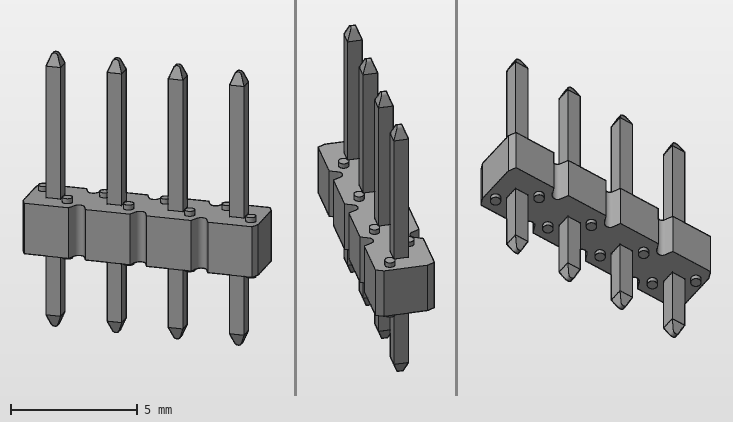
import cadquery as cq
import math

PIN_COUNT = 4
PITCH = 2.54
PIN_XS = [(i - (PIN_COUNT - 1) / 2) * PITCH for i in range(PIN_COUNT)]

HOUSING_LENGTH = 9.76
HOUSING_WIDTH = 2.42
HOUSING_HEIGHT = 2.13

FLANK_RUN = 0.15
FLANK_DEPTH = 0.32
NOTCH_FLOOR_HALF_WIDTH = (PIN_COUNT * PITCH - HOUSING_LENGTH) / 2
NOTCH_HALF_WIDTH = NOTCH_FLOOR_HALF_WIDTH + FLANK_RUN

FLANK_ANGLE = math.atan2(FLANK_DEPTH, FLANK_RUN)
NOTCH_DEPTH = FLANK_DEPTH + NOTCH_FLOOR_HALF_WIDTH * math.tan(FLANK_ANGLE / 2)

PEG_DIAMETER = 0.41
PEG_HEIGHT = 0.21
PEG_OFFSET_X = 0.67
PEG_OFFSET_Y = 0.55

PIN_LENGTH = 11.5
PIN_SIZE = 0.61
PIN_BELOW_HOUSING = 3.32
TIP_LENGTH = 0.52
TIP_END_SIZE = 0.21
TIP_ROUNDING = 0.14


def make_notch(x, side):
    """Cutter for one round-bottomed notch in the long face at Y = side * half width."""
    face_y = side * HOUSING_WIDTH / 2
    flank_y = face_y - side * FLANK_DEPTH
    floor_y = face_y - side * NOTCH_DEPTH
    return (
        cq.Workplane("XY")
        .moveTo(x - NOTCH_HALF_WIDTH, face_y)
        .lineTo(x - NOTCH_FLOOR_HALF_WIDTH, flank_y)
        .threePointArc((x, floor_y), (x + NOTCH_FLOOR_HALF_WIDTH, flank_y))
        .lineTo(x + NOTCH_HALF_WIDTH, face_y)
        .close()
        .extrude(HOUSING_HEIGHT)
    )


def make_block():
    """Long block with bevelled corners and a notch pair between neighbouring pins."""
    half_length = HOUSING_LENGTH / 2
    half_width = HOUSING_WIDTH / 2
    face_end_x = half_length - FLANK_RUN
    end_face_y = half_width - FLANK_DEPTH
    block = (
        cq.Workplane("XY")
        .polyline([
            (half_length, -end_face_y),
            (half_length, end_face_y),
            (face_end_x, half_width),
            (-face_end_x, half_width),
            (-half_length, end_face_y),
            (-half_length, -end_face_y),
            (-face_end_x, -half_width),
            (face_end_x, -half_width),
        ])
        .close()
        .extrude(HOUSING_HEIGHT)
    )
    for pin_x in PIN_XS[:-1]:
        for side in (-1, 1):
            block = block.cut(make_notch(pin_x + PITCH / 2, side))
    return block


def make_pegs(base_z, height):
    """Diagonal pair of pegs beside every pin, rising from base_z (a negative height hangs down)."""
    centers = []
    for pin_x in PIN_XS:
        centers.append((pin_x - PEG_OFFSET_X, PEG_OFFSET_Y))
        centers.append((pin_x + PEG_OFFSET_X, -PEG_OFFSET_Y))
    return (
        cq.Workplane("XY")
        .workplane(offset=base_z)
        .pushPoints(centers)
        .circle(PEG_DIAMETER / 2)
        .extrude(height)
    )


def make_housing():
    """Block with its pegs and a square through hole for each pin."""
    pin_holes = (
        cq.Workplane("XY")
        .pushPoints([(pin_x, 0) for pin_x in PIN_XS])
        .rect(PIN_SIZE, PIN_SIZE)
        .extrude(HOUSING_HEIGHT)
    )
    return (
        make_block()
        .union(make_pegs(HOUSING_HEIGHT, PEG_HEIGHT))
        .union(make_pegs(0, -PEG_HEIGHT))
        .cut(pin_holes)
    )


def make_pin(x):
    """Square pin tapered on four sides at both ends, with two rounded edges on each end face."""
    shank_length = PIN_LENGTH - 2 * TIP_LENGTH
    shank_bottom = TIP_LENGTH - PIN_BELOW_HOUSING
    shank = (
        cq.Workplane("XY")
        .workplane(offset=shank_bottom)
        .center(x, 0)
        .rect(PIN_SIZE, PIN_SIZE)
        .extrude(shank_length)
    )
    pin = shank
    for end_face in (">Z", "<Z"):
        tip = (
            shank.faces(end_face)
            .workplane(centerOption="CenterOfMass")
            .rect(PIN_SIZE, PIN_SIZE)
            .workplane(offset=TIP_LENGTH)
            .rect(TIP_END_SIZE, TIP_END_SIZE)
            .loft(combine=False)
        )
        pin = pin.union(tip)
    for end_face in (">Z", "<Z"):
        pin = pin.faces(end_face).edges("|Y").fillet(TIP_ROUNDING)
    return pin


housing = make_housing()
pins = [make_pin(pin_x) for pin_x in PIN_XS]

result = cq.Compound.makeCompound([housing.val(), *[pin.val() for pin in pins]])